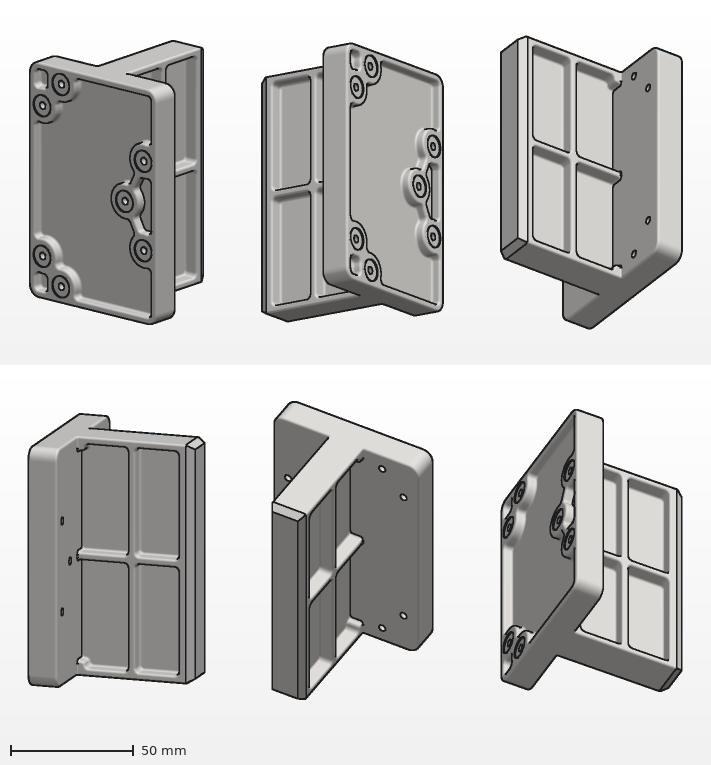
import cadquery as cq
import math

PLATE_WIDTH = 68.0
HEIGHT = 100.0
PLATE_THICKNESS = 12.5
PLATE_CORNER_RADIUS = 5.0

STEM_WIDTH = 16.0
TOTAL_DEPTH = 62.5
TIP_LENGTH = 3.5
TIP_SETBACK = 2.0
TIP_START = TOTAL_DEPTH - TIP_LENGTH

EDGE_RADIUS = 1.0
STEM_ROOT_RADIUS = 0.5
CORNER_RADIUS = 2.0

RIM = 3.0
TRAY_DEPTH = 4.0
BOSS_RADIUS = 7.5
LINK_WIDTH = 3.0
CENTRE_BOSS = (17.0, 0.0)
SIDE_BOSSES = [(27.0, 19.0), (27.0, -19.0)]
CORNER_BOSSES = [(x, side * z) for side in (1, -1) for x, z in ((-17.0, 43.0), (-27.0, 32.0))]
BOSSES = [CENTRE_BOSS] + SIDE_BOSSES + CORNER_BOSSES

INSERT_DIAMETER = 9.0
INSERT_SEAT_DIAMETER = 9.1
INSERT_HOLE_DIAMETER = 3.0
INSERT_RECESS = 0.5
INSERT_SEAT_DEPTH = TRAY_DEPTH

STEM_WEB = 4.0
RIB_WIDTH = 3.0
POCKET_DEPTH = (STEM_WIDTH - STEM_WEB) / 2
POCKET_OUTER_END = TIP_START - RIM
STEM_MIDDLE = (PLATE_THICKNESS + TIP_START) / 2
POCKET_TOP = HEIGHT / 2 - RIM
OPENING_TOP = 44.0
OPENING_END = 12.0
POST_END = 15.5
POST_RADIUS = 1.5

TOLERANCE = 0.1


def box(x_range, y_range, z_range):
    """Axis-aligned block between the given limits."""
    sizes = [high - low for low, high in (x_range, y_range, z_range)]
    return cq.Workplane("XY").box(*sizes, centered=False).translate((x_range[0], y_range[0], z_range[0]))


def centred_block(width, height, start, end):
    """Block centred on the Y axis, from y = start to y = end."""
    return box((-width / 2, width / 2), (start, end), (-height / 2, height / 2))


def cylinders(places, diameter, start, end):
    """Cylinders along Y at the given (x, z) places, from y = start to y = end."""
    return (
        cq.Workplane("XZ", origin=(0, start, 0))
        .pushPoints(places)
        .circle(diameter / 2)
        .extrude(start - end)
    )


def make_stem():
    """Stem from inside the plate to the full depth, with its side pockets."""
    stem = centred_block(STEM_WIDTH, HEIGHT, 0, TOTAL_DEPTH)
    for x_side in (1, -1):
        for z_side in (1, -1):
            for pocket in (make_outer_pocket(), make_inner_pocket()):
                if x_side < 0:
                    pocket = pocket.mirror("YZ")
                if z_side < 0:
                    pocket = pocket.mirror("XY")
                stem = stem.cut(pocket)
    for side_face in (">X", "<X"):
        side = stem.faces(side_face)
        mouths = [edge for wire in side.val().innerWires() for edge in wire.Edges()]
        stem = stem.newObject([stem.val().fillet(EDGE_RADIUS, mouths)])
    return stem


def make_outer_pocket():
    """Cutter for the pocket next to the tip, in the +X +Z quarter."""
    pocket = box(
        (STEM_WEB / 2, STEM_WIDTH / 2),
        (STEM_MIDDLE + RIB_WIDTH / 2, POCKET_OUTER_END),
        (RIB_WIDTH / 2, POCKET_TOP),
    )
    return pocket.edges("|X").fillet(CORNER_RADIUS).faces("<X").edges().fillet(EDGE_RADIUS)


def make_inner_pocket():
    """Cutter for the pocket next to the plate, stepped around a post at its upper end."""
    rib_side = STEM_MIDDLE - RIB_WIDTH / 2
    corner_y = POST_END + CORNER_RADIUS
    corner_z = POCKET_TOP - CORNER_RADIUS
    post_z = OPENING_TOP + POST_RADIUS
    centre_distance = CORNER_RADIUS + POST_RADIUS
    post_y = corner_y - math.sqrt(centre_distance**2 - (corner_z - post_z) ** 2)
    share = CORNER_RADIUS / centre_distance
    joint = (corner_y + share * (post_y - corner_y), corner_z + share * (post_z - corner_z))
    pocket = (
        cq.Workplane("YZ", origin=(STEM_WEB / 2, 0, 0))
        .moveTo(OPENING_END, RIB_WIDTH / 2)
        .lineTo(rib_side, RIB_WIDTH / 2)
        .lineTo(rib_side, POCKET_TOP)
        .lineTo(corner_y, POCKET_TOP)
        .tangentArcPoint(joint, relative=False)
        .tangentArcPoint((post_y, OPENING_TOP), relative=False)
        .lineTo(OPENING_END, OPENING_TOP)
        .close()
        .extrude(POCKET_DEPTH)
    )
    corners = pocket.edges("|X and (<Y or >Y)")
    return corners.fillet(CORNER_RADIUS).faces("<X").edges().fillet(EDGE_RADIUS)


def make_root_fillet(low, high):
    """Concave strip between the +X stem side and the plate's back, from z = low to z = high."""
    start_x = STEM_WIDTH / 2
    side = STEM_ROOT_RADIUS
    strip = box((start_x, start_x + side), (PLATE_THICKNESS, PLATE_THICKNESS + side), (low, high))
    hollow = cq.Workplane("XY", origin=(start_x + side, PLATE_THICKNESS + side, low))
    return strip.cut(hollow.circle(side).extrude(high - low))


def make_tee():
    """Plate and stem with rounded outer edges and the tapered tip."""
    plate = centred_block(PLATE_WIDTH, HEIGHT, 0, PLATE_THICKNESS).edges("|Y").fillet(PLATE_CORNER_RADIUS)
    tee = plate.union(make_stem())
    rib_flat = RIB_WIDTH / 2 - EDGE_RADIUS
    post_start = OPENING_TOP + EDGE_RADIUS
    for low, high in ((-HEIGHT / 2, -post_start), (-rib_flat, rib_flat), (post_start, HEIGHT / 2)):
        fillet_strip = make_root_fillet(low, high)
        tee = tee.union(fillet_strip).union(fillet_strip.mirror("YZ"))
    tee = tee.faces("<Y").edges().fillet(EDGE_RADIUS)
    ends = [cq.selectors.BoxSelector(
        (-PLATE_WIDTH, PLATE_THICKNESS - TOLERANCE, z - TOLERANCE),
        (PLATE_WIDTH, TOTAL_DEPTH - TOLERANCE, z + TOLERANCE),
    ) for z in (HEIGHT / 2, -HEIGHT / 2)]
    tee = tee.edges(ends[0] + ends[1]).fillet(EDGE_RADIUS)
    tip = cq.Workplane("XZ", origin=(0, TIP_START, 0)).rect(STEM_WIDTH, HEIGHT)
    tip = tip.workplane(offset=-TIP_LENGTH)
    tip = tip.rect(STEM_WIDTH - 2 * TIP_SETBACK, HEIGHT - 2 * TIP_SETBACK).loft(ruled=True)
    return tee.intersect(centred_block(PLATE_WIDTH, HEIGHT, 0, TIP_START).union(tip))


def make_tray():
    """Cutter for the front tray: main field, corner fields, and the field between the side bosses."""
    field = centred_block(PLATE_WIDTH - 2 * RIM, HEIGHT - 2 * RIM, 0, TRAY_DEPTH)
    field = field.cut(cylinders(BOSSES, 2 * BOSS_RADIUS, 0, TRAY_DEPTH))
    for x, z in SIDE_BOSSES:
        centre_x, centre_z = CENTRE_BOSS
        run = math.hypot(x - centre_x, z - centre_z)
        link = centred_block(run, LINK_WIDTH, 0, TRAY_DEPTH)
        angle = math.degrees(math.atan2(z - centre_z, x - centre_x))
        link = link.rotate((0, 0, 0), (0, 1, 0), -angle)
        field = field.cut(link.translate(((x + centre_x) / 2, 0, (z + centre_z) / 2)))
    field = field.edges("|Y").fillet(CORNER_RADIUS)
    cutters = []
    for solid in field.solids().vals():
        piece = cq.Workplane(obj=solid)
        between_side_bosses = solid.Center().x > CENTRE_BOSS[0]
        if not between_side_bosses:
            piece = piece.faces(">Y").edges().fillet(EDGE_RADIUS)
        cutters.append(piece)
    return cutters


def make_housing():
    """Tee with the front tray, insert seats and through holes."""
    housing = make_tee()
    for cutter in make_tray():
        housing = housing.cut(cutter)
    front = housing.faces("<Y").val()
    mouths = [edge for wire in front.innerWires() for edge in wire.Edges()]
    housing = housing.newObject([housing.val().fillet(EDGE_RADIUS, mouths)])
    housing = housing.cut(cylinders(BOSSES, INSERT_SEAT_DIAMETER, 0, INSERT_SEAT_DEPTH))
    return housing.cut(cylinders(BOSSES, INSERT_HOLE_DIAMETER, 0, PLATE_THICKNESS))


def make_insert(place):
    """Ring standing on the floor of its seat."""
    ring = cylinders([place], INSERT_DIAMETER, INSERT_RECESS, INSERT_SEAT_DEPTH)
    return ring.cut(cylinders([place], INSERT_HOLE_DIAMETER, 0, INSERT_SEAT_DEPTH))


housing = make_housing()
inserts = [make_insert(place) for place in BOSSES]

result = cq.Compound.makeCompound([housing.val(), *[insert.val() for insert in inserts]])